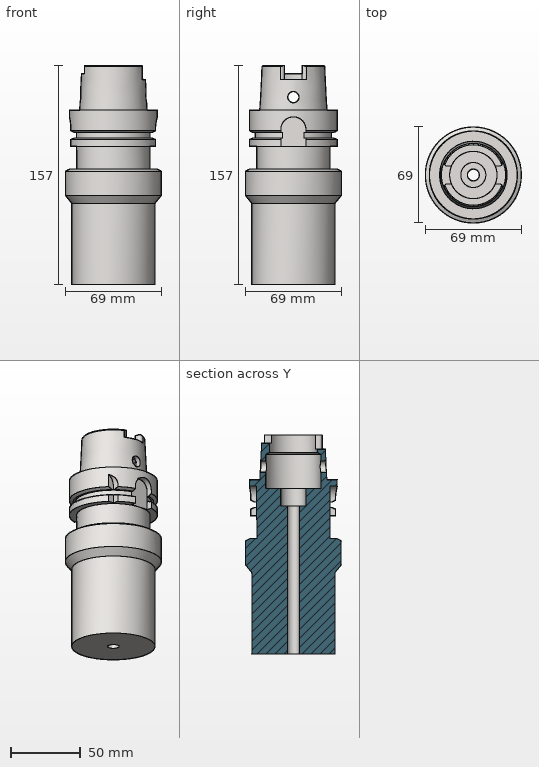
import cadquery as cq

total_height = 157.0
taper_length = 32.0
flange_top = total_height - taper_length
groove_top_edge = 110.2
groove_top = 108.8
groove_bottom = 105.0
groove_bottom_edge = 104.0
flange_bottom = 99.0
collar_top = 82.9
collar_chamfer_height = 1.7
collar_bottom = 63.9
body_top = 58.2

body_radius = 29.8
collar_diameter = 69.0
collar_radius = collar_diameter / 2
collar_top_radius = 31.2
neck_radius = 26.4
flange_radius = 31.5
groove_edge_radius = 28.9
groove_radius = 27.5
taper_base_radius = 24.2
taper_tip_radius = 22.6
tip_chamfer = 1.0

bore_radius = 17.0
undercut_radius = 19.6
undercut_depth = 12.5
undercut_top = total_height - undercut_depth
undercut_cone_height = 1.5
bore_depth = 38.3
bore_floor = total_height - bore_depth
counterbore_radius = 9.0
counterbore_depth = 12.5
coolant_diameter = 8.3
coolant_radius = coolant_diameter / 2

slot_width = 12.5
slot_corner_radius = 2.2
left_slot_depth = 6.0
right_slot_depth = 10.2

cross_hole_radius = 4.0
cross_hole_depth = 22.8
cross_hole_z = total_height - cross_hole_depth

left_key_width = 16.0
right_key_width = 17.9
key_floor = neck_radius
key_top = 120.1
notch_width = 16.0
notch_floor = 20.0
notch_inner_y = 19.8

cut_reach = 47.1


def revolve_outline(points):
    """Solid of revolution about Z from (radius, height) points."""
    return cq.Workplane("XZ").polyline(points).close().revolve(360, (0, 0, 0), (0, 1, 0))


def turned_body():
    return revolve_outline([
        (0, 0),
        (body_radius, 0),
        (body_radius, body_top),
        (collar_radius, collar_bottom),
        (collar_radius, collar_top - collar_chamfer_height),
        (collar_top_radius, collar_top),
        (neck_radius, collar_top),
        (neck_radius, flange_bottom),
        (flange_radius, flange_bottom),
        (flange_radius, groove_bottom_edge),
        (groove_edge_radius, groove_bottom),
        (groove_radius, groove_bottom),
        (groove_radius, groove_top),
        (groove_edge_radius, groove_top),
        (flange_radius, groove_top_edge),
        (flange_radius, flange_top),
        (taper_base_radius, flange_top),
        (taper_tip_radius, total_height - tip_chamfer),
        (taper_tip_radius - tip_chamfer, total_height),
        (0, total_height),
    ])


def bore():
    counterbore_floor = bore_floor - counterbore_depth
    return revolve_outline([
        (0, 0),
        (coolant_radius, 0),
        (coolant_radius, counterbore_floor),
        (counterbore_radius, counterbore_floor),
        (counterbore_radius, bore_floor),
        (undercut_radius, bore_floor),
        (undercut_radius, undercut_top - undercut_cone_height),
        (bore_radius, undercut_top),
        (bore_radius, total_height),
        (0, total_height),
    ])


def drive_slot(side, depth):
    """Slot on the side (+1 or -1) of X whose walls round out into the taper surface."""
    corner_y = slot_width / 2 + slot_corner_radius
    center_distance = taper_tip_radius - slot_corner_radius
    corner_x = (center_distance**2 - corner_y**2) ** 0.5
    mouth_x = corner_x * taper_tip_radius / center_distance
    mouth_y = corner_y * taper_tip_radius / center_distance
    mid_x = mouth_x - corner_x
    mid_y = mouth_y - corner_y - slot_corner_radius
    mid_scale = slot_corner_radius / (mid_x**2 + mid_y**2) ** 0.5
    arc_x = corner_x + mid_x * mid_scale
    arc_y = corner_y + mid_y * mid_scale
    return (
        cq.Workplane("XY", origin=(0, 0, total_height - depth))
        .moveTo(0, -slot_width / 2)
        .lineTo(side * corner_x, -slot_width / 2)
        .threePointArc((side * arc_x, -arc_y), (side * mouth_x, -mouth_y))
        .lineTo(side * cut_reach, -mouth_y)
        .lineTo(side * cut_reach, mouth_y)
        .lineTo(side * mouth_x, mouth_y)
        .threePointArc((side * arc_x, arc_y), (side * corner_x, slot_width / 2))
        .lineTo(0, slot_width / 2)
        .close()
        .extrude(depth)
    )


def flange_flat(side, floor, width, center_y=0.0):
    """Round-topped cut from outside, on the side (+1 or -1) of X, in to the floor plane."""
    half_width = width / 2
    shoulder_z = key_top - half_width
    return (
        cq.Workplane("YZ", origin=(side * floor, 0, 0))
        .moveTo(center_y - half_width, flange_bottom)
        .lineTo(center_y - half_width, shoulder_z)
        .threePointArc((center_y, key_top), (center_y + half_width, shoulder_z))
        .lineTo(center_y + half_width, flange_bottom)
        .close()
        .extrude(side * cut_reach)
    )


def cross_hole():
    return (
        cq.Workplane("YZ", origin=(-cut_reach, 0, cross_hole_z))
        .circle(cross_hole_radius)
        .extrude(2 * cut_reach)
    )


result = (
    turned_body()
    .cut(bore())
    .cut(drive_slot(-1, left_slot_depth))
    .cut(drive_slot(1, right_slot_depth))
    .cut(cross_hole())
    .cut(flange_flat(-1, key_floor, left_key_width))
    .cut(flange_flat(1, key_floor, right_key_width))
    .cut(flange_flat(-1, notch_floor, notch_width, notch_inner_y + notch_width / 2))
)